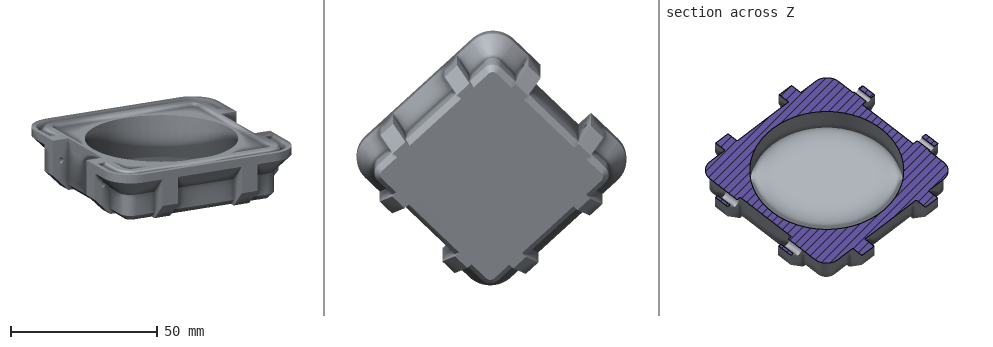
import cadquery as cq
import math

side = 71.0
height = 18.5
corner_radius = 10.0

flange_thickness = 3.0
flange_overhang = 6.0
base_chamfer = 2.0

rib_width = 6.0
rib_gap = 24.6

recess_inset = 7.1
recess_depth = 1.0
well_diameter = 52.5
well_depth = 15.0
groove_inset = 1.55
groove_width = 3.1
groove_half_gap = 17.5

round_hole_diameter = 2.1
round_hole_y = -32.45
round_hole_z = 11.0
flat_hole_diameter = 4.4
flat_hole_across = 2.85
flat_hole_z = 10.2

half_side = side / 2
body_half = half_side - flange_overhang
flange_bottom_z = height - flange_thickness
flare_bottom_z = flange_bottom_z - flange_overhang


def tapered_square(low_inset, low_z, high_inset, high_z):
    """Rounded square block whose outline changes inset evenly from low_z to high_z."""

    def outline(inset):
        width = side - 2 * inset
        return cq.Sketch().rect(width, width).vertices().fillet(corner_radius - inset)

    if low_inset == high_inset:
        flat = cq.Workplane("XY", origin=(0, 0, low_z)).placeSketch(outline(low_inset))
        return flat.extrude(high_z - low_z)
    low = outline(low_inset)
    high = outline(high_inset).moved(cq.Location(cq.Vector(0, 0, high_z - low_z)))
    return cq.Workplane("XY", origin=(0, 0, low_z)).placeSketch(low, high).loft(ruled=True)


def block(x_size, y_size, z_size, center):
    return cq.Workplane("XY").box(x_size, y_size, z_size).translate(center)


def body_with_flange():
    inset = flange_overhang
    base = tapered_square(inset + base_chamfer, 0, inset, base_chamfer)
    wall = tapered_square(inset, base_chamfer, inset, flare_bottom_z)
    flare = tapered_square(inset, flare_bottom_z, 0, flange_bottom_z)
    flange = tapered_square(0, flange_bottom_z, 0, height)
    return base.union(wall).union(flare).union(flange)


def ribs():
    """Two ribs on each of the four sides, with their lower outer corners cut at 45 degrees."""
    root = body_half - base_chamfer
    profile = [
        (root, 0),
        (body_half, 0),
        (half_side, flange_overhang),
        (half_side, flange_bottom_z),
        (root, flange_bottom_z),
    ]
    rib = cq.Workplane("YZ").polyline(profile).close().extrude(rib_width)
    pair = rib.translate((rib_gap / 2, 0, 0)).union(rib.translate((-rib_gap / 2 - rib_width, 0, 0)))
    all_ribs = pair
    for angle in (90, 180, 270):
        all_ribs = all_ribs.union(pair.rotate((0, 0, 0), (0, 0, 1), angle))
    return all_ribs


def flange_gaps():
    """Clear the flange between the ribs on the +Y and -Y sides."""
    middle = body_half + flange_overhang / 2
    gap = block(rib_gap, flange_overhang, height, (0, middle, height / 2))
    return gap.union(gap.mirror("XZ"))


def recess_and_well():
    floor_z = height - recess_depth
    recess = tapered_square(recess_inset + recess_depth, floor_z, recess_inset, height)
    well = cq.Workplane("XY", origin=(0, 0, floor_z)).circle(well_diameter / 2).extrude(-well_depth)
    return recess.union(well)


def v_groove():
    """V groove with 45 degree walls, interrupted in the middle of the +Y and -Y sides."""
    depth = groove_width / 2
    middle_inset = groove_inset + depth
    outer = tapered_square(middle_inset, height - depth, groove_inset, height)
    core = tapered_square(middle_inset, height - depth, groove_inset + groove_width, height)
    interruption = block(2 * groove_half_gap, side, height, (0, 0, height / 2))
    return outer.cut(core).cut(interruption)


def round_hole():
    plane = cq.Workplane("YZ", origin=(-half_side, round_hole_y, round_hole_z))
    return plane.circle(round_hole_diameter / 2).extrude(side)


def flat_sided_hole():
    """Round hole with two flats at 45 degrees, the upper one lying on the flare's sloping face."""
    flare_to_axis = flat_hole_across / 2 * math.sqrt(2)
    axis_y = body_half + flat_hole_z - flare_bottom_z + flare_to_axis
    plane = cq.Workplane("YZ")
    bore = plane.circle(flat_hole_diameter / 2).extrude(side)
    flats = plane.transformed(rotate=(0, 0, 45)).rect(flat_hole_diameter, flat_hole_across).extrude(side)
    return bore.intersect(flats).translate((-half_side, axis_y, flat_hole_z))


drilled_ribs = ribs().cut(round_hole()).cut(flat_sided_hole())

result = (
    body_with_flange()
    .union(drilled_ribs)
    .cut(flange_gaps())
    .cut(recess_and_well())
    .cut(v_groove())
)